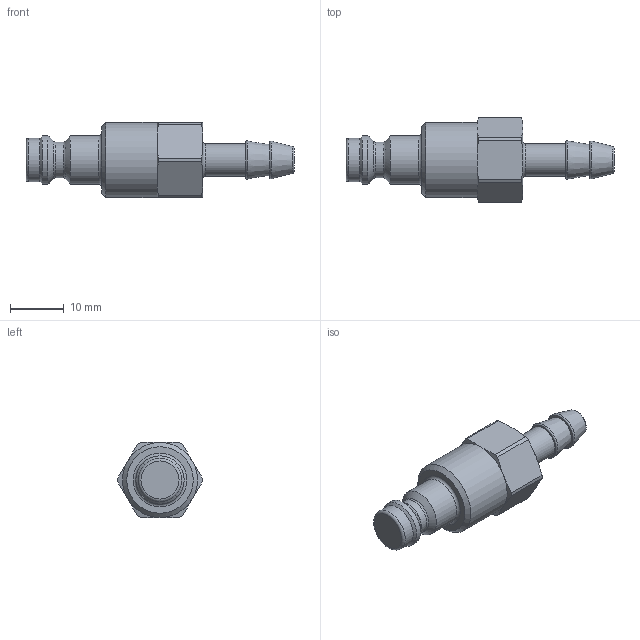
import cadquery as cq
import math

total_length = 50.0

edge_margin = 0.1

tip_diameter = 8.1
tip_fillet = 0.5
collar_diameter = 9.0
collar_ramp_start_x = 2.6
collar_start_x = collar_ramp_start_x + (collar_diameter - tip_diameter) / 2
collar_end_x = 4.1
groove_diameter = 6.65
groove_start_x = 5.28
groove_end_x = 7.15
plug_shoulder_x = 8.3
groove_fillet = 0.5

body_diameter = 14.0
body_start_x = 14.1
body_chamfer = 0.8
plug_root_fillet = 0.5

hex_sides = 6
hex_across_flats = 14.0
hex_corner_diameter = 15.8
hex_start_x = 24.45
hex_end_x = 33.0
hex_chamfer_angle = 15.0

stem_diameter = 6.05
stem_fillet = 0.5
barb_diameter = 7.2
barb_fillet = 0.25
barb_start_x = 41.0
barb_pitch = 4.5
second_barb_start_x = barb_start_x + barb_pitch
barb_root_diameter = 5.75
nose_diameter = 4.9
nose_fillet = 0.35


def edges_between(start_x, end_x, largest_diameter=body_diameter):
    """Select the edges lying wholly within a coaxial span of the part."""
    reach = largest_diameter / 2 + edge_margin
    return cq.selectors.BoxSelector(
        (start_x - edge_margin, -reach, -reach),
        (end_x + edge_margin, reach, reach),
        boundingbox=True,
    )


def make_plug_and_body():
    """Revolve the plug, its locking groove and the cylindrical body."""
    profile = (
        cq.Workplane("XY")
        .moveTo(0, 0)
        .lineTo(0, tip_diameter / 2)
        .lineTo(collar_ramp_start_x, tip_diameter / 2)
        .lineTo(collar_start_x, collar_diameter / 2)
        .lineTo(collar_end_x, collar_diameter / 2)
        .lineTo(groove_start_x, groove_diameter / 2)
        .lineTo(groove_end_x, groove_diameter / 2)
        .lineTo(plug_shoulder_x, collar_diameter / 2)
        .lineTo(body_start_x, collar_diameter / 2)
        .lineTo(body_start_x, body_diameter / 2 - body_chamfer)
        .lineTo(body_start_x + body_chamfer, body_diameter / 2)
        .lineTo(hex_start_x, body_diameter / 2)
        .lineTo(hex_start_x, 0)
        .close()
    )
    plug = profile.revolve(360, (0, 0, 0), (1, 0, 0))
    plug = plug.faces("<X").edges().fillet(tip_fillet)
    plug = plug.edges(edges_between(groove_start_x, groove_end_x)).fillet(groove_fillet)
    plug_root = edges_between(body_start_x, body_start_x, collar_diameter)
    return plug.edges(plug_root).fillet(plug_root_fillet)


def make_hexagon():
    """Make the hexagon with turned corners and a shallow cone at both ends."""
    hex_length = hex_end_x - hex_start_x
    across_corners = hex_across_flats / math.cos(math.radians(180 / hex_sides))
    prism = (
        cq.Workplane("YZ", origin=(hex_start_x, 0, 0))
        .polygon(hex_sides, across_corners)
        .extrude(hex_length)
    )
    corner_height = (hex_corner_diameter - hex_across_flats) / 2
    chamfer_length = corner_height * math.tan(math.radians(hex_chamfer_angle))
    turned_blank = (
        cq.Workplane("YZ", origin=(hex_start_x, 0, 0))
        .circle(hex_corner_diameter / 2)
        .extrude(hex_length)
        .faces("<X or >X")
        .chamfer(chamfer_length, corner_height)
    )
    return prism.intersect(turned_blank)


def make_hose_barb():
    """Revolve the stem and the two barbs that hold the hose."""
    profile = (
        cq.Workplane("XY")
        .moveTo(hex_end_x, 0)
        .lineTo(hex_end_x, stem_diameter / 2)
        .lineTo(barb_start_x, stem_diameter / 2)
        .lineTo(barb_start_x, barb_diameter / 2)
        .lineTo(second_barb_start_x, barb_root_diameter / 2)
        .lineTo(second_barb_start_x, barb_diameter / 2)
        .lineTo(total_length, nose_diameter / 2)
        .lineTo(total_length, 0)
        .close()
    )
    barb = profile.revolve(360, (0, 0, 0), (1, 0, 0))
    rim = cq.selectors.RadiusNthSelector(-1)
    for start_x in (barb_start_x, second_barb_start_x):
        barb = barb.edges(edges_between(start_x, start_x)).edges(rim).fillet(barb_fillet)
    return barb.faces(">X").edges().fillet(nose_fillet)


result = make_plug_and_body().union(make_hexagon()).union(make_hose_barb())
stem_root = edges_between(hex_end_x, hex_end_x, stem_diameter)
result = result.edges(stem_root).fillet(stem_fillet)